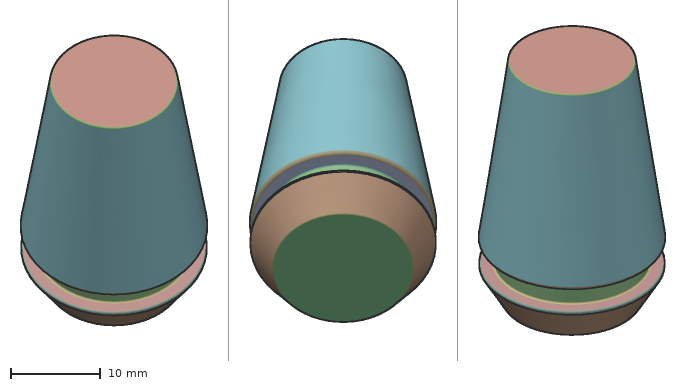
import cadquery as cq
import math

total_height = 31.5
flange_cone_height = 4.35
flange_top = 4.75
groove_top = 7.6

nominal_diameter = 21.0
flange_diameter = 20.75
groove_diameter = 17.4

body_half_angle = math.radians(8)
flange_half_angle = math.radians(30)

body_edge_radius = 0.4
small_edge_radius = 0.2

body_radius = nominal_diameter / 2
flange_radius = flange_diameter / 2
groove_radius = groove_diameter / 2
top_radius = body_radius - (total_height - groove_top) * math.tan(body_half_angle)
bottom_radius = flange_radius - flange_cone_height * math.tan(flange_half_angle)


def revolved_blank():
    """Solid of revolution with sharp edges: flange, groove and tapered body."""
    profile = (
        cq.Workplane("XZ")
        .polyline([
            (0, 0),
            (bottom_radius, 0),
            (flange_radius, flange_cone_height),
            (flange_radius, flange_top),
            (groove_radius, flange_top),
            (groove_radius, groove_top),
            (body_radius, groove_top),
            (top_radius, total_height),
            (0, total_height),
        ])
        .close()
    )
    return profile.revolve(360, (0, 0, 0), (0, 1, 0))


def round_circle(part, radius, height, rounding):
    """Round the circular edge of the given radius lying at the given height."""
    tolerance = 0.01
    edges = [
        edge for edge in part.edges("%CIRCLE").vals()
        if abs(edge.radius() - radius) < tolerance
        and abs(edge.Center().z - height) < tolerance
    ]
    return part.newObject(edges).fillet(rounding)


result = revolved_blank()
result = round_circle(result, body_radius, groove_top, body_edge_radius)
for edge_radius, edge_height in [
    (bottom_radius, 0),
    (top_radius, total_height),
    (groove_radius, groove_top),
    (groove_radius, flange_top),
    (flange_radius, flange_top),
]:
    result = round_circle(result, edge_radius, edge_height, small_edge_radius)